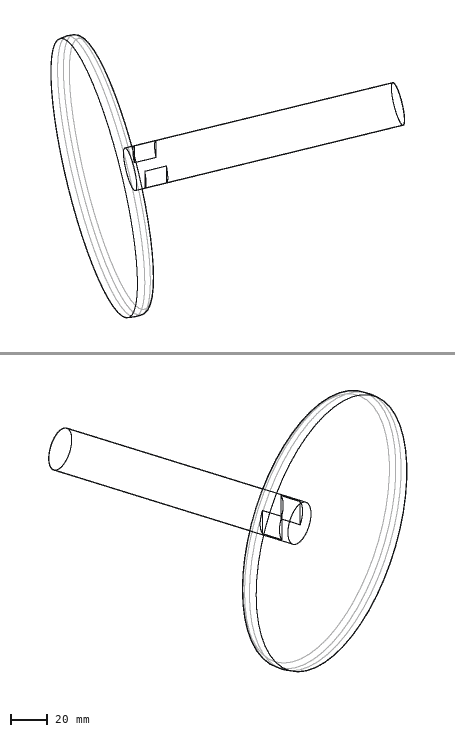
import cadquery as cq

TOTAL_LENGTH = 174.0

SOLE_RADIUS = 78.5
RIM_RADIUS = 79.0
RIM_HEIGHT = 4.05
SHOULDER_RADIUS = 78.8
SHOULDER_HEIGHT = 7.3
ROUND_END_RADIUS = 76.2
ROUND_END_HEIGHT = 9.85
ROUND_BULGE = 0.5

SHAFT_RADIUS = 12.0
CONE_HEIGHT = 20.6

FLATS_WIDTH = 19.0
FLATS_START = 26.0
FLATS_LENGTH = 12.4


def make_foot():
    """Round plate with a crowned rim and a conical back, turned about the Y axis."""
    round_middle = (
        (SHOULDER_RADIUS + ROUND_END_RADIUS) / 2 + ROUND_BULGE,
        (SHOULDER_HEIGHT + ROUND_END_HEIGHT) / 2 + ROUND_BULGE,
    )
    profile = (
        cq.Workplane("XY")
        .lineTo(SOLE_RADIUS, 0)
        .lineTo(RIM_RADIUS, RIM_HEIGHT)
        .lineTo(SHOULDER_RADIUS, SHOULDER_HEIGHT)
        .threePointArc(round_middle, (ROUND_END_RADIUS, ROUND_END_HEIGHT))
        .lineTo(SHAFT_RADIUS, CONE_HEIGHT)
        .lineTo(0, CONE_HEIGHT)
        .close()
    )
    return profile.revolve(360, (0, 0, 0), (0, 1, 0))


def make_shaft():
    """Plain round bar standing on the cone."""
    bar = cq.Workplane("XZ", origin=(0, CONE_HEIGHT, 0)).circle(SHAFT_RADIUS)
    return bar.extrude(CONE_HEIGHT - TOTAL_LENGTH)


def cut_wrench_flats(body):
    """Two opposite flats facing -X and +X."""
    cutter_size = 2 * SHAFT_RADIUS
    for side in (-1, 1):
        cutter = cq.Workplane("XY").box(cutter_size, FLATS_LENGTH, cutter_size)
        body = body.cut(
            cutter.translate(
                (side * (FLATS_WIDTH + cutter_size) / 2, FLATS_START + FLATS_LENGTH / 2, 0)
            )
        )
    return body


result = cut_wrench_flats(make_foot().union(make_shaft()))